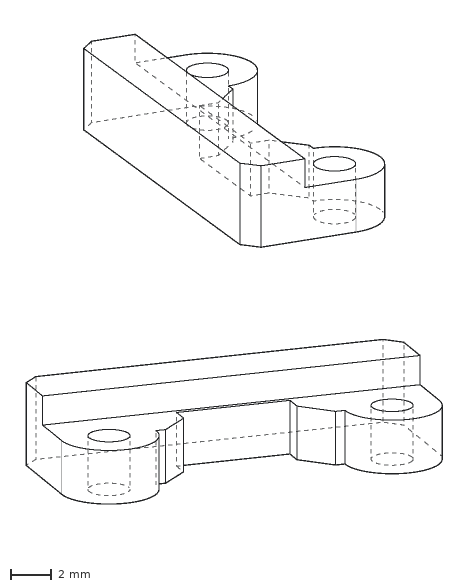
import cadquery as cq

length = 20.0
height = 4.32

bar_depth = 3.2
corner_chamfer = 0.8

ledge_height = 2.8
lug_radius = 2.5
lug_center_y = 6.0
hole_diameter = 2.1

notch_width = 6.0
notch_floor_y = 3.48
notch_flare = 1.5

half_length = length / 2
lug_center_x = half_length - lug_radius
notch_half = notch_width / 2
flare_start_y = lug_center_y - notch_flare


def make_bar():
    """Full-height bar with its two front vertical edges chamfered."""
    bar = cq.Workplane("XY").box(length, bar_depth, height, centered=(True, False, False))
    return bar.edges("|Z and <Y").chamfer(corner_chamfer)


def make_ledge():
    """Ledge behind the bar, with round lugs at both ends and the notch between them."""
    return (
        cq.Workplane("XY")
        .moveTo(-half_length, bar_depth)
        .lineTo(half_length, bar_depth)
        .lineTo(half_length, lug_center_y)
        .threePointArc(
            (lug_center_x, lug_center_y + lug_radius),
            (lug_center_x - lug_radius, lug_center_y),
        )
        .lineTo(notch_half + notch_flare, lug_center_y)
        .lineTo(notch_half, flare_start_y)
        .lineTo(notch_half, notch_floor_y)
        .lineTo(-notch_half, notch_floor_y)
        .lineTo(-notch_half, flare_start_y)
        .lineTo(-notch_half - notch_flare, lug_center_y)
        .lineTo(-lug_center_x + lug_radius, lug_center_y)
        .threePointArc(
            (-lug_center_x, lug_center_y + lug_radius),
            (-half_length, lug_center_y),
        )
        .close()
        .extrude(ledge_height)
    )


def make_holes():
    """Through holes concentric with the lugs."""
    return (
        cq.Workplane("XY")
        .pushPoints([(-lug_center_x, lug_center_y), (lug_center_x, lug_center_y)])
        .circle(hole_diameter / 2)
        .extrude(ledge_height)
    )


result = make_bar().union(make_ledge()).cut(make_holes())